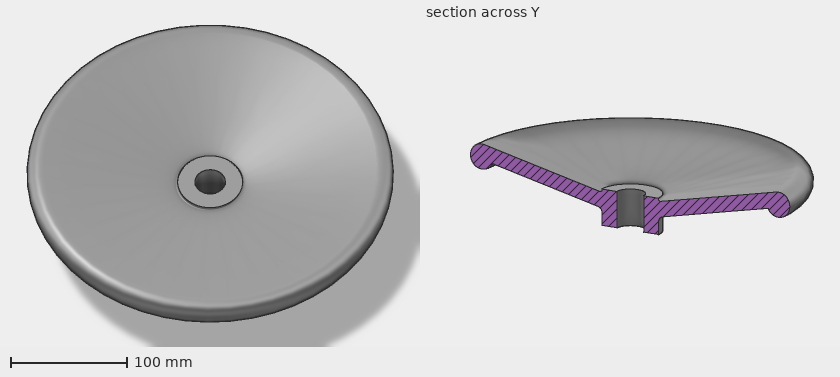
import cadquery as cq
import math

outer_diameter = 315.0
overall_height = 55.98

rim_radius = 11.5

web_slope = math.radians(12.5)
web_thickness = 14.2

hub_diameter = 56.0
bore_diameter = 26.0
boss_top_height = 33.0
lower_fillet = 5.0
upper_fillet = 1.5

rim_center_r = outer_diameter / 2 - rim_radius
rim_center_z = overall_height - rim_radius
hub_radius = hub_diameter / 2
bore_radius = bore_diameter / 2

tangent_r = rim_center_r - rim_radius * math.sin(web_slope)
tangent_z = rim_center_z + rim_radius * math.cos(web_slope)


def upper_cone_z(r):
    """Height of the web's upper face at radius r."""
    return tangent_z - (tangent_r - r) * math.tan(web_slope)


def lower_cone_z(r):
    """Height of the web's underside at radius r."""
    return upper_cone_z(r) - web_thickness / math.cos(web_slope)


def make_rim():
    """Round ring swept around Z."""
    section = cq.Workplane("XZ").center(rim_center_r, rim_center_z).circle(rim_radius)
    return section.revolve(360, (-rim_center_r, 0, 0), (-rim_center_r, 1, 0))


def make_web_and_hub():
    """Bored hub and conical web, with fillets where they meet."""
    lower_arc_center_r = hub_radius + lower_fillet
    lower_web_r = lower_arc_center_r - lower_fillet * math.sin(web_slope)
    lower_web_z = lower_cone_z(lower_web_r)
    lower_hub_z = lower_web_z - lower_fillet * math.cos(web_slope)

    upper_arc_center_r = hub_radius + upper_fillet
    upper_web_r = upper_arc_center_r + upper_fillet * math.sin(web_slope)
    upper_web_z = upper_cone_z(upper_web_r)
    upper_hub_z = upper_web_z + upper_fillet * math.cos(web_slope)

    profile = (
        cq.Workplane("XZ")
        .moveTo(bore_radius, 0)
        .lineTo(hub_radius, 0)
        .lineTo(hub_radius, lower_hub_z)
        .radiusArc((lower_web_r, lower_web_z), lower_fillet)
        .lineTo(rim_center_r, lower_cone_z(rim_center_r))
        .lineTo(rim_center_r, rim_center_z)
        .lineTo(tangent_r, tangent_z)
        .lineTo(upper_web_r, upper_web_z)
        .radiusArc((hub_radius, upper_hub_z), upper_fillet)
        .lineTo(hub_radius, boss_top_height)
        .lineTo(bore_radius, boss_top_height)
        .close()
    )
    return profile.revolve(360, (0, 0, 0), (0, 1, 0))


result = make_web_and_hub().union(make_rim())